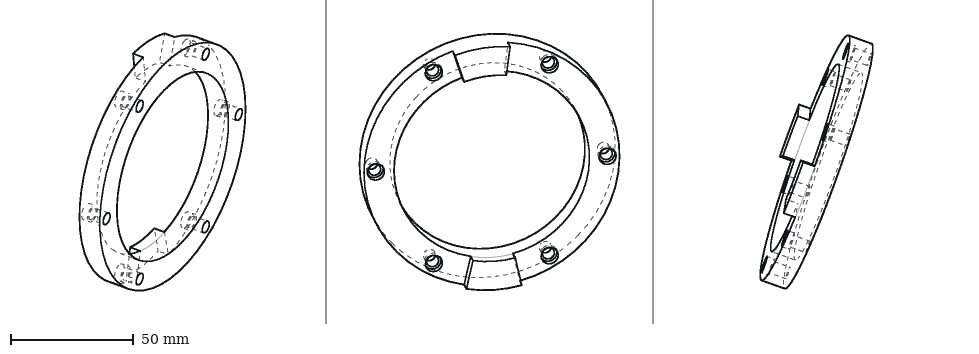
import cadquery as cq
import math

outer_diameter = 106.0
inner_diameter = 81.0
ring_thickness = 10.1

lug_height = 5.0
lug_angle = 25.0
upper_lug_center = 84.7
lower_lug_center = 270.0

hole_count = 6
hole_circle_diameter = 96.0
hole_diameter = 5.0
counterbore_diameter = 7.0
counterbore_depth = 3.0


def polar(radius, angle):
    """Point in the YZ plane, with the angle in degrees from +Y towards +Z."""
    return (radius * math.cos(math.radians(angle)), radius * math.sin(math.radians(angle)))


def lug(center_angle):
    """Ring sector with radial ends, standing on the -X face and fused into the ring."""
    start = center_angle - lug_angle / 2
    end = center_angle + lug_angle / 2
    outer_radius = outer_diameter / 2
    inner_radius = inner_diameter / 2
    return (
        cq.Workplane("YZ", origin=(-lug_height, 0, 0))
        .moveTo(*polar(inner_radius, start))
        .lineTo(*polar(outer_radius, start))
        .threePointArc(polar(outer_radius, center_angle), polar(outer_radius, end))
        .lineTo(*polar(inner_radius, end))
        .threePointArc(polar(inner_radius, center_angle), polar(inner_radius, start))
        .close()
        .extrude(lug_height)
    )


def hole_cylinders(diameter, depth):
    """Cylinders on the hole circle, starting at the -X face of the ring."""
    return (
        cq.Workplane("YZ")
        .polarArray(hole_circle_diameter / 2, 0, 360, hole_count)
        .circle(diameter / 2)
        .extrude(depth)
    )


ring = cq.Workplane("YZ").circle(outer_diameter / 2).circle(inner_diameter / 2).extrude(ring_thickness)

result = ring.union(lug(upper_lug_center)).union(lug(lower_lug_center)).clean()
result = result.cut(hole_cylinders(hole_diameter, ring_thickness))
result = result.cut(hole_cylinders(counterbore_diameter, counterbore_depth))